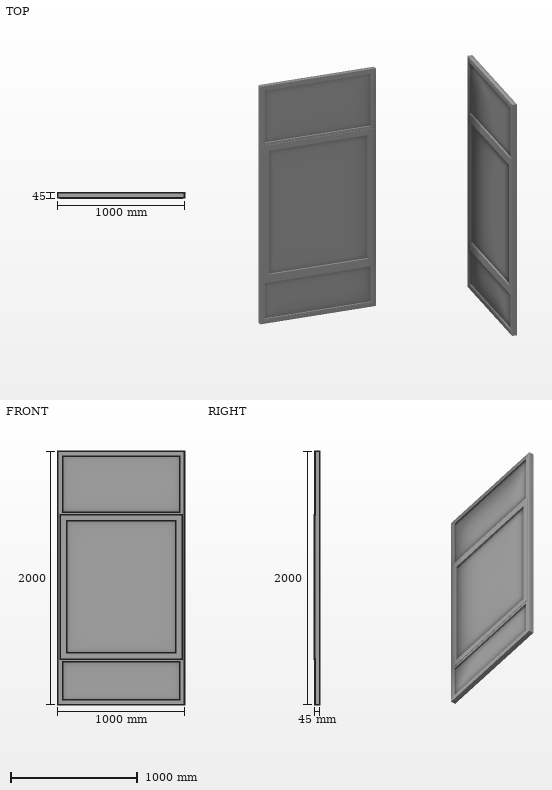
import cadquery as cq

FRAME_WIDTH = 1000.0
FRAME_HEIGHT = 2000.0
FRAME_DEPTH = 40.0
BORDER = 40.0
SASH_BORDER = 20.0

LOWER_HEIGHT = 300.0
SASH_HEIGHT = 1140.0
UPPER_HEIGHT = FRAME_HEIGHT - 2 * BORDER - 2 * SASH_BORDER - LOWER_HEIGHT - SASH_HEIGHT
FIXED_PANE_WIDTH = FRAME_WIDTH - 2 * BORDER
SASH_WIDTH = FRAME_WIDTH - 2 * SASH_BORDER

LOWER_BOTTOM = BORDER
SASH_BOTTOM = LOWER_BOTTOM + LOWER_HEIGHT + SASH_BORDER
UPPER_BOTTOM = SASH_BOTTOM + SASH_HEIGHT + SASH_BORDER

SASH_PROTRUSION = 5.0
SASH_DEPTH = FRAME_DEPTH + SASH_PROTRUSION
SASH_RAIL = 50.0
SASH_PANE_WIDTH = SASH_WIDTH - 2 * SASH_RAIL
SASH_PANE_HEIGHT = SASH_HEIGHT - 2 * SASH_RAIL
SASH_PANE_BOTTOM = SASH_BOTTOM + SASH_RAIL

PANE_THICKNESS = 8.0


def slab(width, height, bottom, depth, back=0):
    """Upright slab centred on X = 0, reaching from Y = -back to Y = -(back + depth)."""
    return (
        cq.Workplane("XY")
        .box(width, depth, height, centered=(True, False, False))
        .translate((0, -back - depth, bottom))
    )


def make_frame():
    frame = slab(FRAME_WIDTH, FRAME_HEIGHT, 0, FRAME_DEPTH)
    openings = [
        (FIXED_PANE_WIDTH, LOWER_HEIGHT, LOWER_BOTTOM),
        (SASH_WIDTH, SASH_HEIGHT, SASH_BOTTOM),
        (FIXED_PANE_WIDTH, UPPER_HEIGHT, UPPER_BOTTOM),
    ]
    for width, height, bottom in openings:
        frame = frame.cut(slab(width, height, bottom, FRAME_DEPTH))
    return frame


def make_sash():
    body = slab(SASH_WIDTH, SASH_HEIGHT, SASH_BOTTOM, SASH_DEPTH)
    return body.cut(slab(SASH_PANE_WIDTH, SASH_PANE_HEIGHT, SASH_PANE_BOTTOM, SASH_DEPTH))


def make_pane(width, height, bottom, holder_depth):
    back = (holder_depth - PANE_THICKNESS) / 2
    return slab(width, height, bottom, PANE_THICKNESS, back)


frame = make_frame()
sash = make_sash()

pane_places = [
    (FIXED_PANE_WIDTH, LOWER_HEIGHT, LOWER_BOTTOM, FRAME_DEPTH),
    (SASH_PANE_WIDTH, SASH_PANE_HEIGHT, SASH_PANE_BOTTOM, SASH_DEPTH),
    (FIXED_PANE_WIDTH, UPPER_HEIGHT, UPPER_BOTTOM, FRAME_DEPTH),
]
panes = [make_pane(*place).val() for place in pane_places]

result = cq.Compound.makeCompound([frame.val(), sash.val(), *panes])